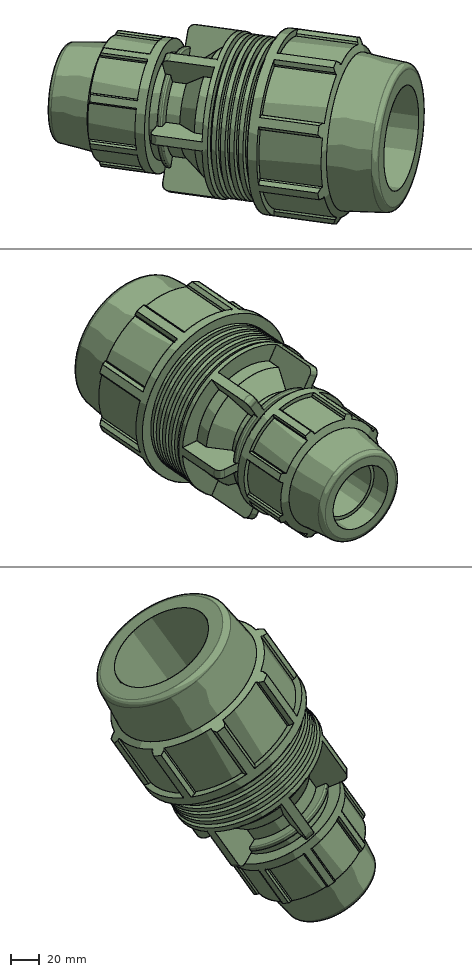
import cadquery as cq

length = 250.0

small_face_fillet = 3.8
small_face_radius = 35.5
small_taper_radius = 39.2
small_shoulder = 31.0
small_grip_radius = 44.8
small_grip_start = 33.5
small_flange_start = 69.5
small_flange_end = 76.5
small_flange_radius = 96.0 / 2
small_rib_tip_width = 5.2
small_rib_root_width = 7.2
small_rib_shoulder_radius = 46.2

collar_end = 83.8
collar_radius = 76.8 / 2
disc_end = 87.8
disc_radius = 43.2
disc_fillet = 1.2
neck_end = 98.0
neck_radius = 35.0
cone_end = 112.8
hub_radius = 46.2
body_flange_start = 123.0
body_flange_end = 127.0
body_flange_radius = 118.8 / 2

thread_root_radius = 105.5 / 2
thread_crest_radius = 116.5 / 2
first_ring_start = 129.5
last_ring_start = 156.0
thread_ring_width = 3.5
thread_ring_count = 5
thread_pitch = (last_ring_start - first_ring_start) / (thread_ring_count - 1)

fin_count = 6
fin_start = collar_end
fin_thickness = 7.0
fin_fillet = 5.2

large_flange_start = 158.8
large_flange_end = 165.8
large_flange_radius = 132.0 / 2
large_grip_radius = 61.2
large_grip_end = 211.8
large_shoulder = 214.0
large_taper_radius = 56.2
large_face_radius = 52.8
large_face_fillet = 4.2
large_rib_tip_width = 6.5
large_rib_root_width = 10.2
large_rib_shoulder_radius = 62.8

rib_count = 8
rib_pitch = 360 / rib_count

small_bore_radius = 50 / 2
small_bore_depth = 15.0
through_radius = 44.5 / 2
large_bore_radius = 75 / 2


def cylinder(start, end, radius):
    """Cylinder about the X axis between two stations."""
    return cq.Workplane("YZ").workplane(offset=start).circle(radius).extrude(end - start)


def revolve_about_x(points):
    """Solid of revolution from (station, radius) points closed along the axis."""
    outline = [(points[0][0], 0)] + points + [(points[-1][0], 0)]
    return cq.Workplane("XY").polyline(outline).close().revolve(360, (0, 0, 0), (1, 0, 0))


def cone_station(start, end, radius):
    """Station where the cone through two (station, radius) points reaches a radius."""
    axial_rate = (end[0] - start[0]) / (end[1] - start[1])
    return start[0] + axial_rate * (radius - start[1])


def rib_bars(start, end, root_width, tip_width, shoulder_radius, tip_radius):
    """Star of radial bars with parallel roots and bevelled tips."""
    bevel_slope = (root_width - tip_width) / (tip_radius - shoulder_radius)
    peak_radius = shoulder_radius + root_width / bevel_slope
    outline = [
        (0, -root_width / 2),
        (shoulder_radius, -root_width / 2),
        (peak_radius, 0),
        (shoulder_radius, root_width / 2),
        (0, root_width / 2),
    ]
    bar = cq.Workplane("YZ").workplane(offset=start).polyline(outline).close().extrude(end - start)
    bars = bar.rotate((0, 0, 0), (1, 0, 0), rib_pitch / 2)
    for index in range(1, rib_count):
        bars = bars.union(bar.rotate((0, 0, 0), (1, 0, 0), (index + 0.5) * rib_pitch))
    return bars


def grip_panels(start, end, floor_radius, bars):
    """Recesses between the ribs: a ring outside the grip surface, less the rib bars."""
    ring = cylinder(start, end, 2 * floor_radius).cut(cylinder(start, end, floor_radius))
    return ring.cut(bars)


def small_nut():
    shoulder = (small_shoulder, small_taper_radius)
    grip_edge = (small_grip_start, small_grip_radius)
    nut = revolve_about_x([
        (0, small_face_radius),
        shoulder,
        (cone_station(shoulder, grip_edge, small_flange_radius), small_flange_radius),
        (small_flange_end, small_flange_radius),
    ])
    nut = nut.faces("<X").edges().fillet(small_face_fillet)
    bars = rib_bars(small_shoulder, small_flange_start, small_rib_root_width, small_rib_tip_width,
                    small_rib_shoulder_radius, small_flange_radius)
    return nut.cut(grip_panels(small_shoulder, small_flange_start, small_grip_radius, bars))


def large_nut():
    shoulder = (large_shoulder, large_taper_radius)
    grip_edge = (large_grip_end, large_grip_radius)
    nut = revolve_about_x([
        (large_flange_start, large_flange_radius),
        (cone_station(shoulder, grip_edge, large_flange_radius), large_flange_radius),
        shoulder,
        (length, large_face_radius),
    ])
    nut = nut.faces(">X").edges().fillet(large_face_fillet)
    bars = rib_bars(large_flange_end, large_shoulder, large_rib_root_width, large_rib_tip_width,
                    large_rib_shoulder_radius, large_flange_radius)
    return nut.cut(grip_panels(large_flange_end, large_shoulder, large_grip_radius, bars))


def central_body():
    body = revolve_about_x([
        (small_flange_end, collar_radius),
        (collar_end, collar_radius),
        (collar_end, neck_radius),
        (neck_end, neck_radius),
        (cone_end, hub_radius),
        (body_flange_start, hub_radius),
        (body_flange_start, thread_root_radius),
        (large_flange_start, thread_root_radius),
    ])
    body = body.union(cylinder(collar_end, disc_end, disc_radius).edges().fillet(disc_fillet))
    for index in range(thread_ring_count):
        ring_start = first_ring_start + index * thread_pitch
        body = body.union(cylinder(ring_start, ring_start + thread_ring_width, thread_crest_radius))
    return body


def finned_flange():
    """Body flange and its fins, made from one cylinder by cutting away the gaps between fins."""
    fin_length = body_flange_start - fin_start
    plate = cq.Workplane("XY").box(fin_length, 2 * body_flange_radius, fin_thickness)
    plate = plate.edges("<X and |Z").fillet(fin_fillet)
    plate = plate.translate((fin_start + fin_length / 2, 0, 0))
    gaps = cylinder(fin_start, body_flange_start, 2 * body_flange_radius)
    for index in range(fin_count // 2):
        gaps = gaps.cut(plate.rotate((0, 0, 0), (1, 0, 0), index * 360 / fin_count))
    return cylinder(fin_start, body_flange_end, body_flange_radius).cut(gaps)


def bores():
    through = cylinder(0, length, through_radius)
    small_bore = cylinder(0, small_bore_depth, small_bore_radius)
    large_bore = cylinder(cone_end, length, large_bore_radius)
    return through.union(small_bore).union(large_bore)


nuts = small_nut().union(large_nut())
result = nuts.union(central_body()).union(finned_flange()).cut(bores())